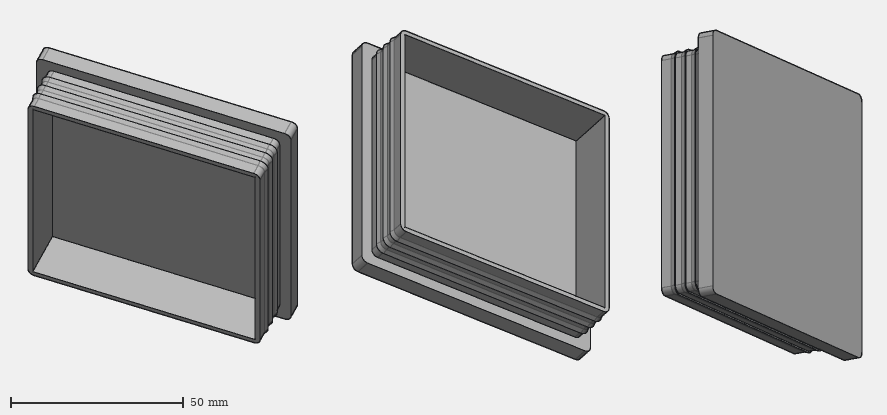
import cadquery as cq


plate_side = 80.0
plate_thickness = 5.0
total_depth = 20.0
corner_radius = 2.0

plug_side = 73.0
wall = 1.5
cavity_side = plug_side - 2 * wall
plug_length = total_depth - plate_thickness

rib_count = 3
rib_pitch = 3.5
rib_width = 1.5
rib_height = 0.5
first_rib_gap = 3.0

plate_outer_y = total_depth / 2
plate_inner_y = plate_outer_y - plate_thickness


def plane_at(y):
    """Workplane parallel to XZ at the given Y, with its normal along -Y."""
    return cq.Workplane("XZ", origin=(0, y, 0))


def rounded_square(side, radius):
    return cq.Sketch().rect(side, side).vertices().fillet(radius)


def make_plate():
    outline = rounded_square(plate_side, corner_radius)
    return plane_at(plate_outer_y).placeSketch(outline).extrude(plate_thickness)


def make_plug():
    outline = rounded_square(plug_side, corner_radius)
    return plane_at(plate_inner_y).placeSketch(outline).extrude(plug_length)


def make_rib(y):
    """Rib with its full height at y, tapering down to the plug wall toward the open end."""
    crest = rounded_square(plug_side + 2 * rib_height, corner_radius + rib_height)
    foot = rounded_square(plug_side, corner_radius).moved(cq.Location(cq.Vector(0, 0, rib_width)))
    return plane_at(y).placeSketch(crest, foot).loft()


def make_cavity():
    """Sharp-cornered pocket reaching from the open end to the plate's inner face."""
    return plane_at(plate_inner_y).rect(cavity_side, cavity_side).extrude(plug_length)


result = make_plate().union(make_plug())
for index in range(rib_count):
    result = result.union(make_rib(plate_inner_y - first_rib_gap - index * rib_pitch))
result = result.cut(make_cavity())